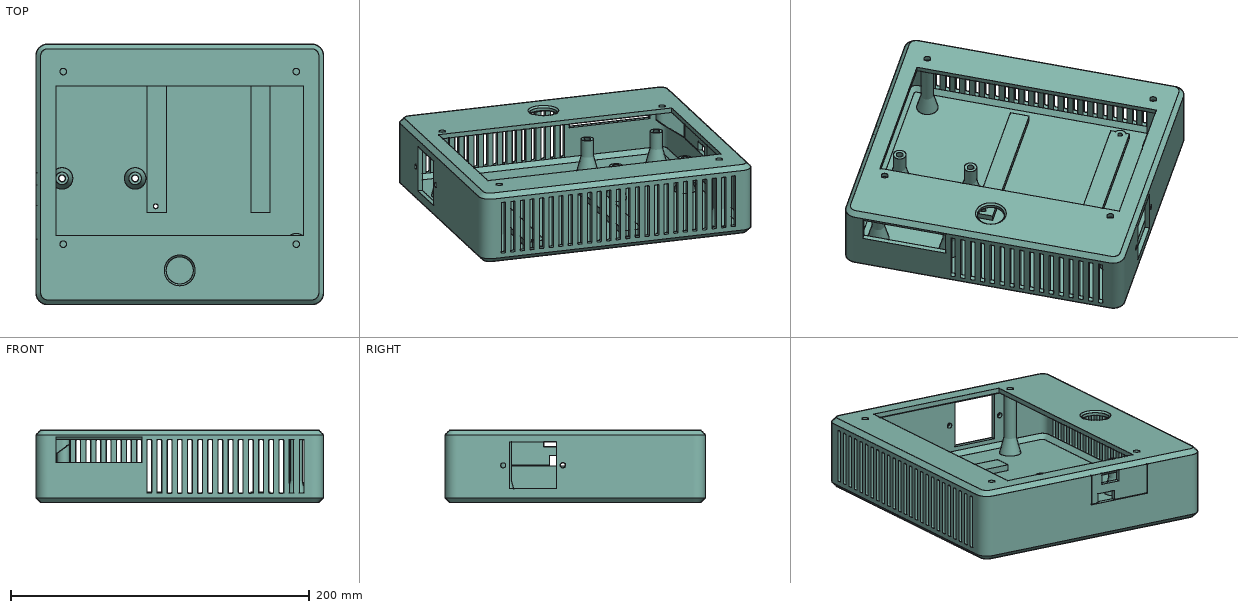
import cadquery as cq
import math

LENGTH = 192.9
WIDTH = 174.77
HEIGHT = 48.6
WALL = 3.2
BEVEL = WALL
CORNER_RADIUS = 8.0

INNER_LENGTH = LENGTH - 2 * WALL
INNER_WIDTH = WIDTH - 2 * WALL
INNER_RADIUS = CORNER_RADIUS - WALL
SEAM_Z = HEIGHT - WALL
FLOOR_Z = WALL
LEFT_X = -LENGTH / 2
RIGHT_X = LENGTH / 2
FRONT_Y = -WIDTH / 2
BACK_Y = WIDTH / 2

SCREEN_LENGTH = 165.6
SCREEN_WIDTH = 100.0
SCREEN_Y = 9.15
LIP_DEPTH = 3.2
LIP_THICKNESS = 3.2
LIP_CLEARANCE = 0.2
LIP_TAPER_DEPTH = 1.9
LIP_TAPER_WIDTH = 1.4
BUTTON_DIAMETER = 18.2
BUTTON_BEVEL = 1.2
BUTTON_Y = -64.4

COLUMN_X = 78.1
COLUMN_FRONT_Y = -46.8
COLUMN_BACK_Y = 68.9
POST_DIAMETER = 8.4
POST_HOLE = 4.4
FOOT_DIAMETER = 14.4
FOOT_TOP_Z = 14.2
BRACKET_TIP_Z = 39.2
BRACKET_WALL_Z = 24.9
BRACKET_WALL_WIDTH = 3.0

BOARD_PITCH_X = 49.0
BOARD_PITCH_Y = 58.0
BOARD_X = -78.9
BOARD_Y = -60.7
STANDOFF_TOP_Z = 26.2

RAIL_WIDTH = 13.0
RAIL_HEIGHT = 4.0
RAIL_FRONT_Y = -25.5
RAIL_BACK_Y = 73.5
LEFT_RAIL_X = -15.3
RIGHT_RAIL_X = 54.1
RAIL_HOLE = 3.0
RAIL_PAD = POST_DIAMETER
LEFT_SCREW = (-16.1, -21.4)
RIGHT_SCREW = (54.6, 71.3)

VENT_WIDTH = 3.0
VENT_PITCH = 6.81
VENT_CORNER_RADIUS = 0.6
VENT_LOW_Z = FLOOR_Z + BEVEL
VENT_HIGH_Z = SEAM_Z - LIP_DEPTH
LAST_VENT = 12
FIRST_FRONT_VENT = -3

WINDOW_LEFT_X = -82.8
WINDOW_RIGHT_X = -25.4
WINDOW_LOW_Z = 27.0
WINDOW_HIGH_Z = 44.0

INLET_Y = -28.3
INLET_Z = 25.0
INLET_WIDTH = 31.4
INLET_HEIGHT = 31.4
INLET_SCREW_PITCH = 40.0
INLET_SCREW_HOLE = 3.4

OPENING_BACK_Y = 1.2
OPENING_FRONT_Y = -43.7
OPENING_LOW_Z = 24.7
PANEL_GAP = 0.4
UPPER_SLOT_BACK_Y = -7.2
UPPER_SLOT_FRONT_Y = -21.0
UPPER_SLOT_LOW_Z = 37.6
LOWER_SLOT_BACK_Y = -4.2
LOWER_SLOT_FRONT_Y = -17.2
LOWER_SLOT_HIGH_Z = 31.5


def block(x0, x1, y0, y1, z0, z1):
    """Box between two opposite corners."""
    return cq.Workplane("XY").box(x1 - x0, y1 - y0, z1 - z0, centered=False).translate((x0, y0, z0))


def rounded_block(length, width, radius, z0, z1):
    """Upright block with rounded vertical edges, centred on the Z axis."""
    body = cq.Workplane("XY", origin=(0, 0, z0)).rect(length, width).extrude(z1 - z0)
    return body.edges("|Z").fillet(radius)


def cylinder(x, y, diameter, z0, z1):
    return cq.Workplane("XY", origin=(x, y, z0)).circle(diameter / 2).extrude(z1 - z0)


def post(x, y, top_z):
    """Round post that widens into a conical foot on the floor."""
    profile = [
        (0, FLOOR_Z),
        (FOOT_DIAMETER / 2, FLOOR_Z),
        (POST_DIAMETER / 2, FOOT_TOP_Z),
        (POST_DIAMETER / 2, top_z),
        (0, top_z),
    ]
    return cq.Workplane("XZ").polyline(profile).close().revolve(360, (0, 0), (0, 1)).translate((x, y, 0))


def wall_bracket(x, y):
    """Screw boss on an arm from the left wall, with a sloping underside and a notch for the lid lip."""
    wall_x = LEFT_X + WALL
    radius = POST_DIAMETER / 2
    arm_half = BRACKET_WALL_WIDTH / 2
    reach = x - wall_x
    tangent = math.asin((radius - arm_half) / reach)
    tangent_x = x - radius * math.sin(tangent)
    tangent_y = radius * math.cos(tangent)
    tip_x = x + radius
    outline = (
        cq.Workplane("XY", origin=(0, 0, BRACKET_WALL_Z))
        .moveTo(wall_x, y - arm_half)
        .lineTo(tangent_x, y - tangent_y)
        .threePointArc((tip_x, y), (tangent_x, y + tangent_y))
        .lineTo(wall_x, y + arm_half)
        .close()
        .extrude(SEAM_Z - BRACKET_WALL_Z)
    )
    side = (
        cq.Workplane("XZ", origin=(0, y + radius, 0))
        .polyline([(wall_x, BRACKET_WALL_Z), (tip_x, BRACKET_TIP_Z), (tip_x, SEAM_Z), (wall_x, SEAM_Z)])
        .close()
        .extrude(POST_DIAMETER)
    )
    lip_inner_x = wall_x + LIP_CLEARANCE + LIP_THICKNESS
    lip_space = block(wall_x, lip_inner_x, y - radius, y + radius, SEAM_Z - LIP_DEPTH, SEAM_Z)
    return outline.intersect(side).cut(lip_space)


def vents(first, y):
    """Row of upright slots with rounded corners through the wall at y."""
    centers = [(i * VENT_PITCH, (VENT_LOW_Z + VENT_HIGH_Z) / 2) for i in range(first, LAST_VENT + 1)]
    return (
        cq.Workplane("XZ", origin=(0, y, 0))
        .pushPoints(centers)
        .rect(VENT_WIDTH, VENT_HIGH_Z - VENT_LOW_Z)
        .extrude(WALL, both=True)
        .edges("|Y")
        .fillet(VENT_CORNER_RADIUS)
    )


def make_housing():
    shell = rounded_block(LENGTH, WIDTH, CORNER_RADIUS, 0, SEAM_Z).faces("<Z").edges().chamfer(BEVEL)
    cavity = rounded_block(INNER_LENGTH, INNER_WIDTH, INNER_RADIUS, FLOOR_Z, SEAM_Z)
    cavity = cavity.faces("<Z").edges().chamfer(BEVEL)
    body = shell.cut(cavity)

    columns = [(COLUMN_X, COLUMN_FRONT_Y), (COLUMN_X, COLUMN_BACK_Y), (-COLUMN_X, COLUMN_BACK_Y)]
    for x, y in columns:
        body = body.union(post(x, y, SEAM_Z)).cut(cylinder(x, y, POST_HOLE, FLOOR_Z, SEAM_Z))
    body = body.union(wall_bracket(-COLUMN_X, COLUMN_FRONT_Y))
    body = body.cut(cylinder(-COLUMN_X, COLUMN_FRONT_Y, POST_HOLE, BRACKET_WALL_Z, SEAM_Z))

    for x in (BOARD_X, BOARD_X + BOARD_PITCH_X):
        for y in (BOARD_Y, BOARD_Y + BOARD_PITCH_Y):
            body = body.union(post(x, y, STANDOFF_TOP_Z)).cut(cylinder(x, y, POST_HOLE, 0, STANDOFF_TOP_Z))

    rail_top = FLOOR_Z + RAIL_HEIGHT
    for x, screw in ((LEFT_RAIL_X, LEFT_SCREW), (RIGHT_RAIL_X, RIGHT_SCREW)):
        half = RAIL_WIDTH / 2
        body = body.union(block(x - half, x + half, RAIL_FRONT_Y, RAIL_BACK_Y, FLOOR_Z, rail_top))
        body = body.union(cylinder(*screw, RAIL_PAD, FLOOR_Z, rail_top))
        body = body.cut(cylinder(*screw, RAIL_HOLE, 0, rail_top))

    body = body.cut(vents(-LAST_VENT, BACK_Y)).cut(vents(FIRST_FRONT_VENT, FRONT_Y))

    body = body.cut(
        block(WINDOW_LEFT_X, WINDOW_RIGHT_X, FRONT_Y, FRONT_Y + WALL, WINDOW_LOW_Z, WINDOW_HIGH_Z)
    )

    inlet = cq.Workplane("YZ", origin=(RIGHT_X - WALL, INLET_Y, INLET_Z))
    body = body.cut(inlet.rect(INLET_WIDTH, INLET_HEIGHT).extrude(WALL))
    screws = [(-INLET_SCREW_PITCH / 2, 0), (INLET_SCREW_PITCH / 2, 0)]
    body = body.cut(inlet.pushPoints(screws).circle(INLET_SCREW_HOLE / 2).extrude(WALL))

    opening = block(LEFT_X, LEFT_X + WALL, OPENING_FRONT_Y, OPENING_BACK_Y, OPENING_LOW_Z, SEAM_Z)
    return body.cut(opening)


def make_panel():
    """Connector panel with one slot open to the lid and one open at its lower edge."""
    back = LEFT_X + WALL
    low_z = OPENING_LOW_Z + PANEL_GAP
    plate = block(LEFT_X, back, OPENING_FRONT_Y + PANEL_GAP, OPENING_BACK_Y - PANEL_GAP, low_z, SEAM_Z)
    upper = block(LEFT_X, back, UPPER_SLOT_FRONT_Y, UPPER_SLOT_BACK_Y, UPPER_SLOT_LOW_Z, SEAM_Z)
    lower = block(LEFT_X, back, LOWER_SLOT_FRONT_Y, LOWER_SLOT_BACK_Y, low_z, LOWER_SLOT_HIGH_Z)
    return plate.cut(upper).cut(lower)


def make_lip():
    """Locating rim below the lid, with a tapered lower outside edge."""
    length = INNER_LENGTH - 2 * LIP_CLEARANCE
    width = INNER_WIDTH - 2 * LIP_CLEARANCE
    radius = INNER_RADIUS - LIP_CLEARANCE
    low_z = SEAM_Z - LIP_DEPTH
    outside = rounded_block(length, width, radius, low_z, SEAM_Z)
    outside = outside.faces("<Z").edges().chamfer(LIP_TAPER_DEPTH, LIP_TAPER_WIDTH)
    wall_trim = 2 * LIP_THICKNESS
    inside_radius = radius - LIP_THICKNESS
    inside = rounded_block(length - wall_trim, width - wall_trim, inside_radius, low_z, SEAM_Z)
    return outside.cut(inside)


def button_hole():
    """Round cutter through the lid, widening at the top face."""
    radius = BUTTON_DIAMETER / 2
    profile = [
        (0, SEAM_Z),
        (radius, SEAM_Z),
        (radius, HEIGHT - BUTTON_BEVEL),
        (radius + BUTTON_BEVEL, HEIGHT),
        (0, HEIGHT),
    ]
    cutter = cq.Workplane("XZ").polyline(profile).close().revolve(360, (0, 0), (0, 1))
    return cutter.translate((0, BUTTON_Y, 0))


def make_lid():
    slab = rounded_block(LENGTH, WIDTH, CORNER_RADIUS, 0, HEIGHT).faces(">Z").edges().chamfer(BEVEL)
    slab = slab.cut(block(LEFT_X, RIGHT_X, FRONT_Y, BACK_Y, 0, SEAM_Z))
    lid = slab.union(make_lip())

    half_length = SCREEN_LENGTH / 2
    half_width = SCREEN_WIDTH / 2
    lid = lid.cut(
        block(-half_length, half_length, SCREEN_Y - half_width, SCREEN_Y + half_width, SEAM_Z, HEIGHT)
    )
    for x in (-COLUMN_X, COLUMN_X):
        for y in (COLUMN_FRONT_Y, COLUMN_BACK_Y):
            lid = lid.cut(cylinder(x, y, POST_HOLE, SEAM_Z, HEIGHT))
    return lid.cut(button_hole())


housing = make_housing()
panel = make_panel()
lid = make_lid()

result = cq.Compound.makeCompound([housing.val(), panel.val(), lid.val()])